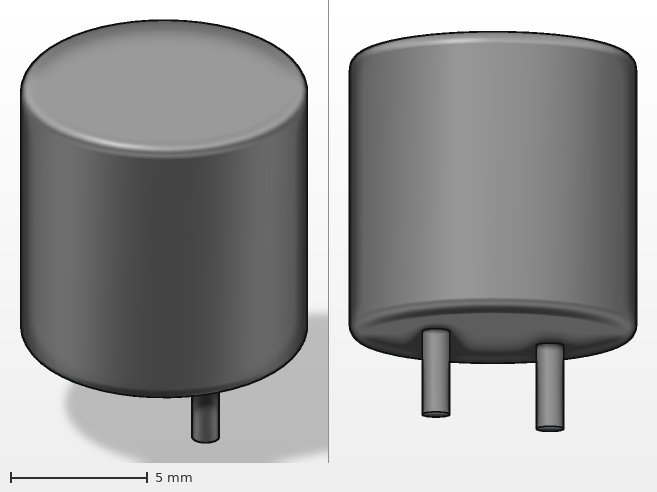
import cadquery as cq

body_diameter = 10.5
body_height = 10.5
rim_radius = 0.5

lead_diameter = 1.0
lead_length = 3.1
lead_pitch = 5.0
lead_embed = 1.0


def make_body():
    """Can with its base on Z = 0 and both rims rounded."""
    can = cq.Workplane("XY").circle(body_diameter / 2).extrude(body_height)
    return can.faces("|Z").edges().fillet(rim_radius)


def make_leads():
    """Two leads along X, running from below the can up into its base."""
    return (
        cq.Workplane("XY", origin=(0, 0, -lead_length))
        .pushPoints([(-lead_pitch / 2, 0), (lead_pitch / 2, 0)])
        .circle(lead_diameter / 2)
        .extrude(lead_length + lead_embed)
    )


result = make_body().union(make_leads())